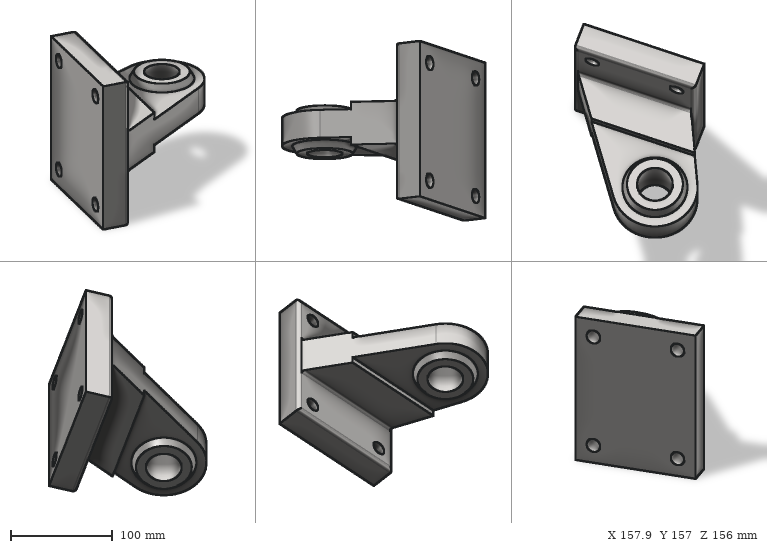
import cadquery as cq
import math

plate_width = 126.0
plate_height = 156.0
plate_thickness = 28.0
plate_edge_radius = 4.0
mount_hole_diameter = 14.0
mount_hole_inset = 19.0

eye_radius = 42.0
eye_overhang = 31.9
eye_x = -plate_width / 2 - eye_overhang + eye_radius
eye_y = 115.0
bore_diameter = 35.0

eye_thickness = 28.0
root_thickness = 43.0
root_end_y = 70.0
root_fillet = 3.0
arm_base_half_width = plate_width / 2 - plate_edge_radius

boss_base_diameter = 64.0
boss_top_diameter = 55.0
boss_height = (root_thickness - eye_thickness) / 2


def tangent_point(x, y, side):
    """Point where a line from (x, y) touches the eye; side is -1 for -X, +1 for +X."""
    dx = x - eye_x
    dy = y - eye_y
    to_base = math.atan2(dy, dx)
    opening = math.acos(eye_radius / math.hypot(dx, dy))
    angle = to_base + side * opening
    return (eye_x + eye_radius * math.cos(angle), eye_y + eye_radius * math.sin(angle))


def make_plate():
    plate = (
        cq.Workplane("XY")
        .box(plate_width, plate_thickness, plate_height)
        .translate((0, plate_thickness / 2, 0))
        .faces(">Y")
        .edges()
        .fillet(plate_edge_radius)
    )
    holes = (
        cq.Workplane("XZ")
        .rect(plate_width - 2 * mount_hole_inset, plate_height - 2 * mount_hole_inset, forConstruction=True)
        .vertices()
        .circle(mount_hole_diameter / 2)
        .extrude(-plate_thickness)
    )
    return plate.cut(holes)


def make_arm():
    base_y = plate_thickness
    outline = (
        cq.Workplane("XY")
        .moveTo(-arm_base_half_width, base_y)
        .lineTo(arm_base_half_width, base_y)
        .lineTo(*tangent_point(arm_base_half_width, base_y, 1))
        .threePointArc((eye_x, eye_y + eye_radius), tangent_point(-arm_base_half_width, base_y, -1))
        .close()
        .extrude(root_thickness / 2 + root_fillet, both=True)
    )
    root_z = root_thickness / 2
    eye_z = eye_thickness / 2
    end_y = eye_y + eye_radius
    arc_offset = root_fillet * (1 - math.sqrt(0.5))
    upper_half = (
        cq.Workplane("YZ")
        .moveTo(base_y, 0)
        .lineTo(base_y, root_z + root_fillet)
        .threePointArc((base_y + arc_offset, root_z + arc_offset), (base_y + root_fillet, root_z))
        .lineTo(root_end_y, root_z)
        .lineTo(root_end_y, eye_z)
        .lineTo(end_y, eye_z)
        .lineTo(end_y, 0)
        .close()
        .extrude(plate_width, both=True)
    )
    profile = upper_half.union(upper_half.mirror("XY"))
    return outline.intersect(profile)


def make_boss():
    return (
        cq.Workplane("XY", origin=(eye_x, eye_y, eye_thickness / 2))
        .circle(boss_base_diameter / 2)
        .workplane(offset=boss_height)
        .circle(boss_top_diameter / 2)
        .loft()
    )


def make_bore():
    return cq.Workplane("XY").center(eye_x, eye_y).circle(bore_diameter / 2).extrude(root_thickness, both=True)


boss = make_boss()
result = make_plate().union(make_arm()).union(boss).union(boss.mirror("XY")).cut(make_bore())